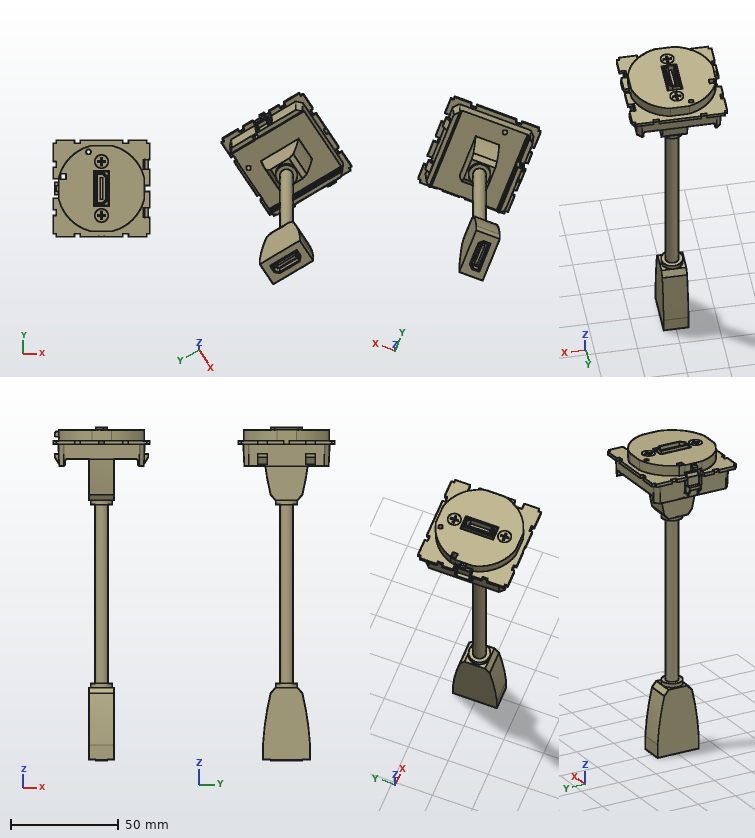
import cadquery as cq
import math

TOTAL_HEIGHT = 155.4
MID_HEIGHT = TOTAL_HEIGHT / 2
DISC_TOP = 154.3
PLATE_TOP = 149.2
PLATE_BOTTOM = 147.6
ARCH_TOP = 140.6
BODY_BOTTOM = 137.4

PLATE_SIZE = 45.0
PLATE_HALF = PLATE_SIZE / 2
NOTCH_DEPTH = 1.4
NOTCH_WIDTH = 2.6
CLIP_SPACING = 22.5
CENTRE_NOTCH_DEPTH = 2.5
MARK_WIDTH = 2.6
MARK_DEPTH = 1.2

DISC_HALF = 20.0
CORNER_CHAMFER = 2.2
FLAT_HALF = 4.5
DISC_RADIUS = math.hypot(DISC_HALF, FLAT_HALF)
BOX_TOP_HALF = 20.2
BOX_BOTTOM_HALF = 19.7
LEG_THICKNESS = 3.1
ARCH_CHAMFER = 0.6

HOOK_TOP = 143.1
HOOK_FACE_HEIGHT = 1.5
HOOK_REACH = 1.9
HOOK_TIP = 138.2
SIDE_HOOK_WIDTH = 4.5
SIDE_SLOT_INNER = 19.6

RECESS_TOP = 150.6
RECESS_BOTTOM = 139.5
RECESS_HALF_WIDTH = FLAT_HALF
RECESS_DEPTH = 1.5
SHELF_HEIGHT = 146.4
SHELF_DEPTH = 1.1
RECESS_CHAMFER = 0.6
TONGUE_WIDTH = 6.0
HOOK_RIB = 0.6
NUB_WIDTH = 2.6
NUB_TOP = 153.5
NUB_BOTTOM = 151.0
NUB_BEVEL = 0.8

WINDOW_X = 6.2
WINDOW_Y = 15.5
WINDOW_CHAMFER = 0.5
ROUND_HOLE_RADIUS = 1.1
ROUND_HOLE_X = -6.0
ROUND_HOLE_Y = 17.1
SQUARE_HOLE_SIZE = 2.5
SQUARE_HOLE_X = -17.9
SQUARE_HOLE_Y = 5.6

SCREW_RADIUS = 3.1
SCREW_SPACING = 25.2
SCREW_PLACES = (-SCREW_SPACING / 2, SCREW_SPACING / 2)
SCREW_DEPTH = 2.3
CROSS_LENGTH = 3.7
CROSS_WIDTH = 0.6
CROSS_DEPTH = 1.2

CABLE_RADIUS = 3.1
COLLAR_RADIUS = 5.1
COLLAR_END = 36.0
PLUG_THICKNESS = 11.8
PLUG_HALF_WIDTH = 11.0
PLUG_END = 34.0
SHOULDER_HALF_WIDTH = 7.5
SHOULDER_HEIGHT = 31.4
WAIST_HALF_WIDTH = 9.8
CURVE_START = 7.3
WAIST_HEIGHT = (CURVE_START + SHOULDER_HEIGHT) / 2
LOWER_FACE = 0.5
UPPER_FACE = TOTAL_HEIGHT - PLATE_TOP

SHELL_X = 5.5
SHELL_Y = 14.8
SHELL_CHAMFER = 1.9
SHELL_WALL = 0.6
SHELL_DEPTH = 4.7
BLADE_X = 1.4
BLADE_Y = 10.3
BLADE_SETBACK = 1.2


def box(x_min, x_max, y_mid, width, z_min, z_max):
    """Box from x_min to x_max and z_min to z_max, centred on y_mid."""
    size = (x_max - x_min, width, z_max - z_min)
    return cq.Workplane("XY").box(*size, centered=(False, True, False)).translate((x_min, y_mid, z_min))


def prism_along_y(points, y_mid, width):
    """XZ outline extruded along Y, centred on y_mid."""
    outline = cq.Workplane("XZ").polyline(points).close()
    return outline.extrude(width / 2, both=True).translate((0, y_mid, 0))


def hook(side, y_mid, width):
    """Snap hook on the +X (side=1) or -X (side=-1) wall."""
    outer = side * (DISC_HALF + HOOK_REACH)
    wall = side * BOX_BOTTOM_HALF
    points = [(wall, HOOK_TOP), (outer, HOOK_TOP), (outer, HOOK_TOP - HOOK_FACE_HEIGHT), (wall, HOOK_TIP)]
    return prism_along_y(points, y_mid, width)


def make_plate():
    plate = box(-PLATE_HALF, PLATE_HALF, 0, PLATE_SIZE, PLATE_BOTTOM, PLATE_TOP)
    thickness = PLATE_TOP - PLATE_BOTTOM

    def notch(points, x_size, y_size):
        cutter = cq.Workplane("XY").workplane(offset=PLATE_BOTTOM).pushPoints(points)
        return cutter.rect(x_size, y_size).extrude(thickness)

    corners = [(x, y) for x in (-PLATE_HALF, PLATE_HALF) for y in (-PLATE_HALF, PLATE_HALF)]
    plate = plate.cut(notch(corners, 2 * NOTCH_DEPTH, 2 * NOTCH_DEPTH))

    offsets = (-CLIP_SPACING / 2, CLIP_SPACING / 2)
    long_edges = [(x, y) for x in offsets for y in (-PLATE_HALF, PLATE_HALF)]
    plate = plate.cut(notch(long_edges, NOTCH_WIDTH, 2 * NOTCH_DEPTH))

    left_edge = [(-PLATE_HALF, y) for y in offsets]
    plate = plate.cut(notch(left_edge, 2 * NOTCH_DEPTH, NOTCH_WIDTH))
    plate = plate.cut(notch([(PLATE_HALF, 0)], 2 * CENTRE_NOTCH_DEPTH, NOTCH_WIDTH))

    clip_slots = [(PLATE_HALF, y) for y in offsets]
    plate = plate.cut(notch(clip_slots, 2 * (PLATE_HALF - SIDE_SLOT_INNER), SIDE_HOOK_WIDTH))
    return plate.cut(make_edge_mark())


def make_edge_mark():
    """Sloping centre mark under the -Y edge of the plate."""
    points = [(-PLATE_HALF, PLATE_TOP), (-PLATE_HALF, PLATE_BOTTOM), (-PLATE_HALF + MARK_DEPTH, PLATE_BOTTOM)]
    return cq.Workplane("YZ").polyline(points).close().extrude(MARK_WIDTH / 2, both=True)


def make_disc():
    """Round cover with four short flats facing the four plate edges."""
    height = DISC_TOP - PLATE_TOP
    disc = cq.Workplane("XY").circle(DISC_RADIUS).extrude(height)
    square = cq.Workplane("XY").rect(2 * DISC_HALF, 2 * DISC_HALF).extrude(height)
    return disc.intersect(square).translate((0, 0, PLATE_TOP))


def make_box():
    """Chamfered, slightly flared box with an arch along Y that leaves a leg on each X side."""
    height = PLATE_BOTTOM - BODY_BOTTOM
    outline = cq.Sketch().rect(2 * BOX_BOTTOM_HALF, 2 * BOX_BOTTOM_HALF).vertices().chamfer(CORNER_CHAMFER)
    flare_angle = math.degrees(math.atan((BOX_TOP_HALF - BOX_BOTTOM_HALF) / height))
    body = cq.Workplane("XY").placeSketch(outline).extrude(height, taper=-flare_angle)
    body = body.translate((0, 0, BODY_BOTTOM))
    half = DISC_HALF - LEG_THICKNESS
    c = ARCH_CHAMFER
    right_side = [(half - c, ARCH_TOP), (half, ARCH_TOP - c), (half, BODY_BOTTOM + c), (half + c, BODY_BOTTOM)]
    left_side = [(-x, z) for x, z in reversed(right_side)]
    arch = prism_along_y(right_side + left_side, 0, PLATE_SIZE)
    return body.cut(arch)


def make_recess():
    """Opening in the -X wall around the release tongue, with a shallower shelf in its upper part."""
    outside = -PLATE_HALF
    width = 2 * RECESS_HALF_WIDTH
    lower = box(outside, -DISC_HALF + RECESS_DEPTH, 0, width, RECESS_BOTTOM, SHELF_HEIGHT)
    lower = lower.edges("|X and <Z").chamfer(RECESS_CHAMFER)
    upper = box(outside, -DISC_HALF + SHELF_DEPTH, 0, width, SHELF_HEIGHT, RECESS_TOP)
    return lower.union(upper).cut(make_tongue_space())


def make_tongue_space():
    """Part of the recess left solid as a springy tongue with a sloping top."""
    root = -DISC_HALF + RECESS_DEPTH
    points = [
        (root, RECESS_BOTTOM),
        (root, PLATE_TOP),
        (-DISC_HALF + SHELF_DEPTH, PLATE_TOP),
        (-DISC_HALF, PLATE_BOTTOM),
        (-PLATE_HALF, PLATE_BOTTOM),
        (-PLATE_HALF, RECESS_BOTTOM),
    ]
    return prism_along_y(points, 0, TONGUE_WIDTH)


def make_tongue_hook():
    """Hook on the tongue: a bar carried by two ribs."""
    gap_width = TONGUE_WIDTH - 2 * HOOK_RIB
    gap = box(-PLATE_HALF, -BOX_BOTTOM_HALF, 0, gap_width, BODY_BOTTOM, HOOK_TOP - HOOK_FACE_HEIGHT)
    return hook(-1, 0, TONGUE_WIDTH).cut(gap)


def make_nub():
    """Small bevelled nub on the -X flat of the disc, above the tongue."""
    tip = -DISC_HALF - HOOK_REACH
    points = [
        (-DISC_HALF, NUB_TOP),
        (tip + NUB_BEVEL, NUB_TOP),
        (tip, NUB_TOP - NUB_BEVEL),
        (tip, NUB_BOTTOM + NUB_BEVEL / 2),
        (tip + NUB_BEVEL, NUB_BOTTOM),
        (-DISC_HALF, NUB_BOTTOM),
    ]
    return prism_along_y(points, 0, NUB_WIDTH)


def make_disc_openings():
    """Chamfered connector window plus the round and square holes that run right through."""
    depth = DISC_TOP - BODY_BOTTOM
    window = box(-WINDOW_X / 2, WINDOW_X / 2, 0, WINDOW_Y, PLATE_TOP, DISC_TOP)
    rim = cq.Workplane("XY").workplane(offset=DISC_TOP)
    rim = rim.rect(WINDOW_X + 2 * WINDOW_CHAMFER, WINDOW_Y + 2 * WINDOW_CHAMFER)
    rim = rim.extrude(-WINDOW_CHAMFER, taper=45)
    size = SQUARE_HOLE_SIZE
    base = cq.Workplane("XY").workplane(offset=BODY_BOTTOM)
    round_hole = base.center(ROUND_HOLE_X, ROUND_HOLE_Y).circle(ROUND_HOLE_RADIUS).extrude(depth)
    square_hole = base.center(SQUARE_HOLE_X, SQUARE_HOLE_Y).rect(size, size).extrude(depth)
    return window.union(rim).union(round_hole).union(square_hole)


def make_housing():
    housing = make_box().union(make_plate()).union(make_disc())
    housing = housing.cut(make_recess()).union(make_tongue_hook()).union(make_nub())
    for y in (-CLIP_SPACING / 2, CLIP_SPACING / 2):
        housing = housing.union(hook(1, y, SIDE_HOOK_WIDTH))
    housing = housing.cut(make_disc_openings())
    for y in SCREW_PLACES:
        housing = housing.cut(make_screw_blank(y))
    return housing.cut(make_plug_body(UPPER_FACE).mirror("XY", (0, 0, MID_HEIGHT)))


def make_screw_blank(y):
    base = cq.Workplane("XY").workplane(offset=DISC_TOP - SCREW_DEPTH).center(0, y)
    return base.circle(SCREW_RADIUS).extrude(SCREW_DEPTH)


def make_screw(y):
    """Flush round screw head with a cross recess."""
    screw = make_screw_blank(y)
    for length, width in ((CROSS_LENGTH, CROSS_WIDTH), (CROSS_WIDTH, CROSS_LENGTH)):
        screw = screw.cut(box(-length / 2, length / 2, y, width, DISC_TOP - CROSS_DEPTH, DISC_TOP))
    return screw


def make_plug_body(face):
    """Lower plug: flat block, widest at its end face, tapering to the cable collar."""
    half_outline = (
        cq.Workplane("YZ")
        .moveTo(0, face)
        .lineTo(PLUG_HALF_WIDTH, face)
        .lineTo(PLUG_HALF_WIDTH, CURVE_START)
        .threePointArc((WAIST_HALF_WIDTH, WAIST_HEIGHT), (SHOULDER_HALF_WIDTH, SHOULDER_HEIGHT))
        .lineTo(COLLAR_RADIUS, PLUG_END)
        .lineTo(0, PLUG_END)
    )
    return half_outline.mirrorY().extrude(PLUG_THICKNESS / 2, both=True)


def make_shell(face):
    """Connector shell whose two +X corners are cut off, with a contact blade inside."""
    base = cq.Workplane("XY")
    outer = base.rect(SHELL_X, SHELL_Y).extrude(face).edges("|Z and >X").chamfer(SHELL_CHAMFER)
    inner = base.rect(SHELL_X - 2 * SHELL_WALL, SHELL_Y - 2 * SHELL_WALL).extrude(SHELL_DEPTH)
    inner = inner.edges("|Z and >X").chamfer(SHELL_CHAMFER - SHELL_WALL * math.tan(math.pi / 8))
    blade = base.workplane(offset=BLADE_SETBACK).rect(BLADE_X, BLADE_Y).extrude(SHELL_DEPTH - BLADE_SETBACK)
    return outer, inner.cut(blade)


def make_cable_end(face):
    """Plug, collar and half of the cable, with the connector tip at height zero."""
    outer, opening = make_shell(face)
    collar = cq.Workplane("XY").workplane(offset=PLUG_END).circle(COLLAR_RADIUS).extrude(COLLAR_END - PLUG_END)
    cord = cq.Workplane("XY").workplane(offset=COLLAR_END).circle(CABLE_RADIUS).extrude(MID_HEIGHT - COLLAR_END)
    return make_plug_body(face).union(outer).union(collar).union(cord).cut(opening)


def make_cable():
    lower = make_cable_end(LOWER_FACE)
    upper = make_cable_end(UPPER_FACE).mirror("XY", (0, 0, MID_HEIGHT))
    return lower.union(upper)


housing = make_housing()
screws = [make_screw(y) for y in SCREW_PLACES]
cable = make_cable()

result = cq.Compound.makeCompound([housing.val(), *[screw.val() for screw in screws], cable.val()])